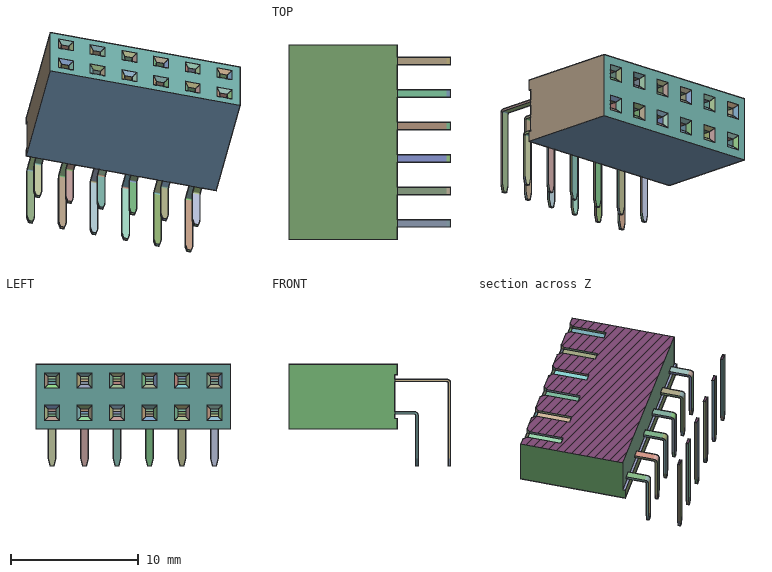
import cadquery as cq

pitch = 2.54
columns = 6
rows = 2

body_length = 8.5
body_width = columns * pitch
body_height = rows * pitch
recess_depth = 0.2
recess_height = 3.4

socket_mouth = 1.2
socket_bore = 0.6
funnel_depth = 0.3
socket_depth = 3.0

overall_length = 12.67
overall_height = 7.98
pin_width = 0.6
pin_thickness = 0.2
bend_radius = 0.3
tip_width = 0.3
tip_length = 0.6
blade_start = 1.5

pin_bottom = body_height / 2 - overall_height
column_centres = [(i - (columns - 1) / 2) * pitch for i in range(columns)]
row_centres = [(i - (rows - 1) / 2) * pitch for i in range(rows)]


def make_housing():
    """Rectangular block with a full-width shallow recess across its rear face."""
    block = cq.Workplane("YZ").rect(body_width, body_height).extrude(body_length)
    recess = (
        cq.Workplane("YZ", origin=(body_length - recess_depth, 0, 0))
        .rect(body_width, recess_height)
        .extrude(recess_depth)
    )
    return block.cut(recess)


def make_socket(y, z):
    """Pyramidal lead-in followed by a straight square bore."""
    funnel = (
        cq.Workplane("YZ", origin=(0, y, z))
        .rect(socket_mouth, socket_mouth)
        .workplane(offset=funnel_depth)
        .rect(socket_bore, socket_bore)
        .loft(ruled=True)
    )
    bore = (
        cq.Workplane("YZ", origin=(funnel_depth, y, z))
        .rect(socket_bore, socket_bore)
        .extrude(socket_depth - funnel_depth)
    )
    return funnel.union(bore)


def make_pin(y, z, rear):
    """Flat strip running from inside the socket to the rear, bent down to a tapered tail."""
    top = z + pin_thickness / 2
    inner_bend = bend_radius - pin_thickness
    strip = (
        cq.Workplane("XZ", origin=(0, y + pin_width / 2, 0))
        .moveTo(blade_start, top)
        .lineTo(rear - bend_radius, top)
        .radiusArc((rear, top - bend_radius), bend_radius)
        .lineTo(rear, pin_bottom)
        .lineTo(rear - pin_thickness, pin_bottom)
        .lineTo(rear - pin_thickness, top - bend_radius)
        .radiusArc((rear - bend_radius, top - pin_thickness), -inner_bend)
        .lineTo(blade_start, top - pin_thickness)
        .close()
        .extrude(pin_width)
    )
    half_width = pin_width / 2
    half_tip = tip_width / 2
    outline = (
        cq.Workplane("YZ")
        .polyline([
            (y - half_width, top),
            (y - half_width, pin_bottom + tip_length),
            (y - half_tip, pin_bottom),
            (y + half_tip, pin_bottom),
            (y + half_width, pin_bottom + tip_length),
            (y + half_width, top),
        ])
        .close()
        .extrude(overall_length)
    )
    return strip.intersect(outline)


result = make_housing()
for row, row_z in enumerate(row_centres):
    pin_rear = overall_length - (rows - 1 - row) * pitch
    for column_y in column_centres:
        result = result.cut(make_socket(column_y, row_z))
        result = result.union(make_pin(column_y, row_z, pin_rear))